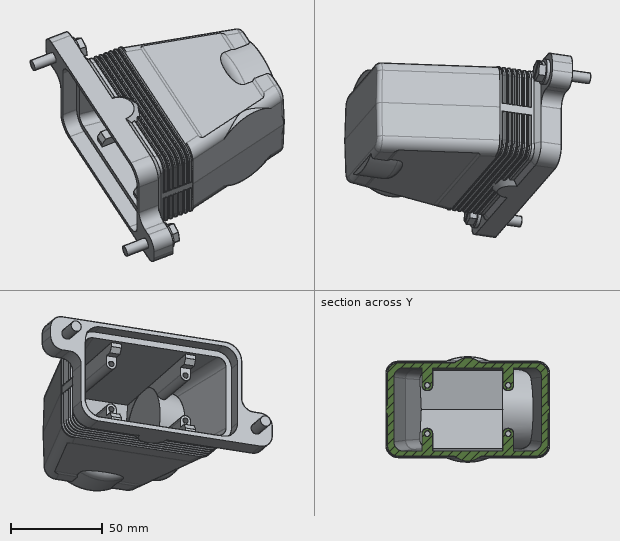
import cadquery as cq
import math


BEVEL_ANGLE = 45.0
TOLERANCE = 0.01

FLANGE_X = 48.0
FLANGE_Z = 29.0
FLANGE_Y = 11.8
FLANGE_CORNER = 10.0
EAR_X = 66.25
EAR_WIDTH = 19.5
EAR_RADIUS = 7.0

RECESS_X = 45.5
RECESS_Z = 26.5
RECESS_DEPTH = 8.5
RECESS_CORNER = 9.0

BAND_X = 45.0
BAND_Z = 26.5
BAND_CORNER = 7.0
FLARE = FLANGE_X - BAND_X
BAND_END = 34.6
RIB_PITCH = 3.0
RIB_COUNT = 5
RIB_HEIGHT = 0.8
RIB_CREST = 0.6
FIRST_RIB = 19.0
PLAIN_STRIP_Z = 2.4

HOOD_BASE_X = 44.9
HOOD_END_X = 28.0
HOOD_END = 100.0
HOOD_OVERLAP = 0.9
HOOD_Z = BAND_Z
HOOD_DRAFT = 1.5
HOOD_CORNER = 7.0
HOOD_END_FILLET = 3.0
SIDE_ANGLE = math.atan2(HOOD_BASE_X - HOOD_END_X, HOOD_END - BAND_END)

PANEL_START = 42.8
PANEL_END = 88.8
PANEL_SLOPE = 1.7
PANEL_DEPTH = 0.5

END_BOSS_RADIUS = FLANGE_Z
END_BOSS_START = 76.4
END_BOSS_END = 99.0
END_BOSS_FILLET = 6.3
END_BOSS_HALF_X = 20.0
SIDE_BOSS_Y = 73.5
SIDE_BOSS_RADIUS = 26.0
SIDE_BOSS_INNER_RADIUS = 22.5
SIDE_BOSS_FACE_X = 19.1

DOME_RADIUS = 8.2
DOME_DEPTH = 4.0

CAVITY_X = 42.2
CAVITY_KINK_X = 34.1
CAVITY_KINK_Y = 62.0
CAVITY_END_X = 25.5
CAVITY_END = 95.0
CAVITY_Z = 23.0
CAVITY_END_Z = 21.3
CAVITY_END_RIDGE = 3.7
CAVITY_CORNER = 5.0

POST_X = 22.2
POST_Z = 13.3
POST_WIDTH = 6.0
POST_FACE = 18.0
POST_HOLE = 3.0
POST_HOLE_DEPTH = 10.0
LUG_Z = 17.6
LUG_TOP_START = 13.1
LUG_FRONT = 11.0
LUG_FRONT_Z = 20.6

SCREW_X = 56.6
SCREW_Z = FLANGE_Z - EAR_WIDTH / 2
SHANK_DIAMETER = 6.0
SHANK_END = -13.0
WASHER_DIAMETER = 14.0
WASHER_THICKNESS = 2.0
HEAD_SIDES = 6
HEAD_ACROSS_FLATS = 10.0
HEAD_HEIGHT = 4.0
HEAD_TURN = 45.0
SLOT_WIDTH = 1.8
SLOT_DEPTH = 2.2


def facing_y(y):
    """Workplane at height y along the hood axis, extruding toward +Y."""
    return cq.Workplane(cq.Plane(origin=(0, y, 0), xDir=(1, 0, 0), normal=(0, 1, 0)))


def rounded_block(half_x, half_z, corner, start, end, taper=0.0):
    """Rounded rectangle extruded along Y; taper shrinks it toward the end."""
    outline = cq.Sketch().rect(2 * half_x, 2 * half_z).vertices().fillet(corner)
    return facing_y(start).placeSketch(outline).extrude(end - start, taper=taper)


def box(x0, x1, y0, y1, z0, z1):
    return cq.Workplane("XY").box(x1 - x0, y1 - y0, z1 - z0, centered=False).translate((x0, y0, z0))


def both_z_sides(shape):
    return shape.union(shape.mirror("XY"))


def round_corners(shape, corners, radius):
    """Fillet the edges parallel to Y that stand at the given (x, z) corners."""

    def is_corner(edge):
        center = edge.Center()
        return any(math.hypot(center.x - x, center.z - z) < TOLERANCE for x, z in corners)

    chosen = [edge for edge in shape.edges("|Y").vals() if is_corner(edge)]
    return shape.newObject(chosen).fillet(radius)


def make_flange():
    ear_inner_z = FLANGE_Z - EAR_WIDTH
    half_outline = [
        (FLANGE_X, FLANGE_Z),
        (FLANGE_X, -ear_inner_z),
        (EAR_X, -ear_inner_z),
        (EAR_X, -FLANGE_Z),
    ]
    outline = half_outline + [(-x, -z) for x, z in half_outline]
    main_corners = [(FLANGE_X, FLANGE_Z), (-FLANGE_X, -FLANGE_Z)]
    ear_corners = [corner for corner in outline if corner not in main_corners]
    flange = cq.Workplane("XZ").polyline(outline).close().extrude(-FLANGE_Y)
    flange = round_corners(flange, main_corners, FLANGE_CORNER)
    return round_corners(flange, ear_corners, EAR_RADIUS)


def make_rib(crest_start, crest_end):
    """Ring rib with a flat crest and bevelled flanks."""
    crest = rounded_block(BAND_X, BAND_Z, BAND_CORNER, crest_start, crest_end)
    flank = rounded_block(BAND_X, BAND_Z, BAND_CORNER, 0, RIB_HEIGHT, taper=BEVEL_ANGLE)
    upper = flank.translate((0, crest_end, 0))
    lower = flank.mirror("XZ").translate((0, crest_start, 0))
    return crest.union(upper).union(lower)


def make_band():
    flare = rounded_block(FLANGE_X, FLANGE_Z, FLANGE_CORNER, FLANGE_Y, FLANGE_Y + FLARE, taper=BEVEL_ANGLE)
    core = rounded_block(
        BAND_X - RIB_HEIGHT, BAND_Z - RIB_HEIGHT, BAND_CORNER - RIB_HEIGHT, FLANGE_Y, BAND_END
    )
    strip = box(-BAND_X, BAND_X, FLANGE_Y, BAND_END, -PLAIN_STRIP_Z, PLAIN_STRIP_Z)
    band = core.union(strip).union(flare)
    band = band.union(make_rib(FLANGE_Y + RIB_HEIGHT, FIRST_RIB - RIB_PITCH + RIB_CREST / 2))
    for i in range(RIB_COUNT):
        middle = FIRST_RIB + i * RIB_PITCH
        band = band.union(make_rib(middle - RIB_CREST / 2, middle + RIB_CREST / 2))
    end_crest = FIRST_RIB + RIB_COUNT * RIB_PITCH - RIB_CREST / 2
    end_ring = make_rib(end_crest, BAND_END)
    return band.union(end_ring.intersect(box(-BAND_X, BAND_X, 0, BAND_END, -BAND_Z, BAND_Z)))


def hood_plan():
    start = BAND_END - HOOD_OVERLAP
    outline = [
        (-HOOD_BASE_X, start),
        (HOOD_BASE_X, start),
        (HOOD_END_X, HOOD_END),
        (-HOOD_END_X, HOOD_END),
    ]
    return cq.Workplane("XY").polyline(outline).close()


def make_half_hood():
    """Sharp-edged +Z half of the hood, drafted away from the parting plane z = 0."""
    return hood_plan().extrude(HOOD_Z, taper=HOOD_DRAFT)


def make_hood():
    half = make_half_hood()
    half = half.faces(">Z").edges("not |X").fillet(HOOD_CORNER)
    end_start = HOOD_END - HOOD_END_FILLET
    end_edges = [
        edge
        for edge in half.edges().vals()
        if edge.BoundingBox().ymin > end_start and edge.BoundingBox().zmax > TOLERANCE
    ]
    hood = both_z_sides(half.newObject(end_edges).fillet(HOOD_END_FILLET))
    panel_floor = HOOD_Z - PANEL_DEPTH
    panel = (
        cq.Workplane("YZ")
        .polyline(
            [
                (PANEL_START, HOOD_Z),
                (PANEL_END, HOOD_Z),
                (PANEL_END - PANEL_SLOPE, panel_floor),
                (PANEL_START + PANEL_SLOPE, panel_floor),
            ]
        )
        .close()
        .extrude(BAND_X, both=True)
    )
    return hood.cut(both_z_sides(panel))


def make_end_boss():
    boss = facing_y(END_BOSS_START).circle(END_BOSS_RADIUS).extrude(END_BOSS_END - END_BOSS_START)
    boss = boss.faces("<Y").edges().fillet(END_BOSS_FILLET)
    return boss.intersect(box(-END_BOSS_HALF_X, END_BOSS_HALF_X, 0, HOOD_END, -FLANGE_Z, FLANGE_Z))


def side_cylinder(radius):
    """Cylinder square to the slanted +X side."""
    side_x = HOOD_BASE_X - (SIDE_BOSS_Y - BAND_END) * math.tan(SIDE_ANGLE)
    axis = (math.cos(SIDE_ANGLE), math.sin(SIDE_ANGLE), 0)
    plane = cq.Plane(origin=(side_x, SIDE_BOSS_Y, 0), xDir=(0, 0, 1), normal=axis)
    return cq.Workplane(plane).circle(radius).extrude(side_x, both=True)


def side_boss_reach():
    """Region on the +X side that the side boss may fill."""
    return box(SIDE_BOSS_FACE_X, BAND_X, 0, HOOD_END, -FLANGE_Z, FLANGE_Z)


def make_side_boss():
    envelope = both_z_sides(make_half_hood()).intersect(side_boss_reach())
    return side_cylinder(SIDE_BOSS_RADIUS).intersect(envelope)


def make_side_boss_core(cavity):
    envelope = cavity.intersect(side_boss_reach())
    return side_cylinder(SIDE_BOSS_INNER_RADIUS).intersect(envelope)


def make_latch_dome():
    """Round pad flush with the flange rim, spreading on a bevel down to the band."""
    dome = (
        cq.Workplane("XY", origin=(0, FLANGE_Y, FLANGE_Z - DOME_DEPTH))
        .circle(DOME_RADIUS + DOME_DEPTH)
        .extrude(DOME_DEPTH, taper=BEVEL_ANGLE)
    )
    behind = box(-FLANGE_X, FLANGE_X, FLANGE_Y, BAND_END, 0, FLANGE_Z)
    return both_z_sides(dome.intersect(behind))


def make_cavity():
    plan = (
        cq.Workplane("XY")
        .polyline(
            [
                (-CAVITY_X, RECESS_DEPTH),
                (CAVITY_X, RECESS_DEPTH),
                (CAVITY_KINK_X, CAVITY_KINK_Y),
                (CAVITY_END_X, CAVITY_END),
                (-CAVITY_END_X, CAVITY_END),
                (-CAVITY_KINK_X, CAVITY_KINK_Y),
            ]
        )
        .close()
        .extrude(CAVITY_Z, both=True)
    )
    profile = (
        cq.Workplane("YZ")
        .polyline(
            [
                (RECESS_DEPTH, -CAVITY_Z),
                (CAVITY_END - CAVITY_END_RIDGE, -CAVITY_END_Z),
                (CAVITY_END, 0),
                (CAVITY_END - CAVITY_END_RIDGE, CAVITY_END_Z),
                (RECESS_DEPTH, CAVITY_Z),
            ]
        )
        .close()
        .extrude(CAVITY_X, both=True)
    )
    cavity = plan.intersect(profile)
    long_edges = [
        edge
        for edge in cavity.edges("(not |X) and (not |Z)").vals()
        if abs(edge.Center().z) > CAVITY_END_Z
    ]
    return cavity.newObject(long_edges).fillet(CAVITY_CORNER)


def make_post(cavity):
    """Round-tipped post and its lug on the -Z wall at +X, trimmed to the cavity."""
    half_width = POST_WIDTH / 2
    length = CAVITY_END - POST_FACE
    tip = facing_y(POST_FACE).center(POST_X, POST_Z).circle(half_width).extrude(length)
    left = POST_X - half_width
    right = POST_X + half_width
    web = box(left, right, POST_FACE, CAVITY_END, -CAVITY_Z, -POST_Z)
    lug = (
        cq.Workplane("YZ", origin=(left, 0, 0))
        .polyline(
            [
                (LUG_FRONT, -CAVITY_Z),
                (LUG_FRONT, -LUG_FRONT_Z),
                (LUG_TOP_START, -LUG_Z),
                (POST_FACE, -LUG_Z),
                (POST_FACE, -CAVITY_Z),
            ]
        )
        .close()
        .extrude(POST_WIDTH)
    )
    hole = facing_y(POST_FACE).center(POST_X, POST_Z).circle(POST_HOLE / 2).extrude(POST_HOLE_DEPTH)
    return tip.union(web).union(lug).cut(hole).intersect(cavity)


def make_screw():
    """Slotted hexagon screw and washer on the axis x = z = 0."""
    head_base = FLANGE_Y + WASHER_THICKNESS
    head_top = head_base + HEAD_HEIGHT
    shank = facing_y(SHANK_END).circle(SHANK_DIAMETER / 2).extrude(head_base - SHANK_END)
    washer = facing_y(FLANGE_Y).circle(WASHER_DIAMETER / 2).extrude(WASHER_THICKNESS)
    across_corners = HEAD_ACROSS_FLATS / math.cos(math.pi / HEAD_SIDES)
    head = facing_y(head_base).polygon(HEAD_SIDES, across_corners).extrude(HEAD_HEIGHT)
    slot = box(
        -SLOT_WIDTH / 2, SLOT_WIDTH / 2, head_top - SLOT_DEPTH, head_top, -across_corners, across_corners
    )
    head = head.cut(slot).rotate((0, 0, 0), (0, 1, 0), -HEAD_TURN)
    return shank.union(washer).union(head)


cavity = make_cavity()
recess = rounded_block(RECESS_X, RECESS_Z, RECESS_CORNER, 0, RECESS_DEPTH)

shell = make_flange().union(make_band()).union(make_hood())
shell = shell.union(make_end_boss()).union(make_side_boss()).union(make_latch_dome())
shell = shell.cut(recess).cut(cavity).union(make_side_boss_core(cavity))

post = make_post(cavity)
for side_post in (post, post.mirror("YZ")):
    shell = shell.union(both_z_sides(side_post))

screw = make_screw()
for direction in (-1, 1):
    shell = shell.union(screw.translate((direction * SCREW_X, 0, -direction * SCREW_Z)))

result = shell